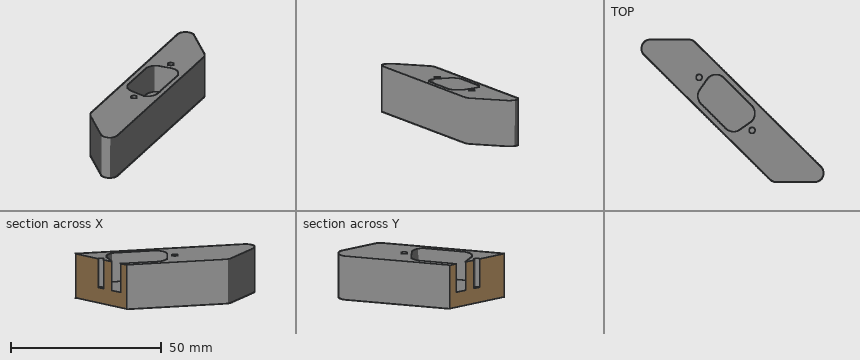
import cadquery as cq
import math

bar_depth = 47.25
bar_height = 15.5
end_length = 21.2
end_offset = 47.8
corner_radius = 3.0

connector_x = -2.3
connector_y = 2.3
connector_turn = -45.0
pocket_length = 19.7
pocket_width = 11.4
pocket_taper = 10.0
pocket_radius = 3.6
screw_spacing = 24.8
screw_diameter = 2.0
blind_depth = 10.0


def slanted_bar():
    """Parallelogram block, centred in X and Y, with rounded upright edges."""
    acute_x = (end_offset + end_length) / 2
    obtuse_x = (end_offset - end_length) / 2
    half_depth = bar_depth / 2
    corners = [
        (-acute_x, half_depth),
        (-obtuse_x, half_depth),
        (acute_x, -half_depth),
        (obtuse_x, -half_depth),
    ]
    block = cq.Workplane("XY").polyline(corners).close().extrude(bar_height)
    return block.edges("|Z").fillet(corner_radius)


def connector_plane():
    """Workplane on the top face, with its x axis along the connector."""
    top_face = cq.Plane(origin=(connector_x, connector_y, bar_height))
    return cq.Workplane(top_face.rotated((0, 0, connector_turn)))


def connector_pocket():
    """Rounded trapezoid, with its longer side toward +X and +Y."""
    half_width = pocket_width / 2
    end_shift = half_width * math.tan(math.radians(pocket_taper))
    long_half = pocket_length / 2 + end_shift
    short_half = pocket_length / 2 - end_shift
    corners = [
        (-long_half, half_width),
        (long_half, half_width),
        (short_half, -half_width),
        (-short_half, -half_width),
    ]
    pocket = connector_plane().polyline(corners).close().extrude(-blind_depth)
    return pocket.edges("|Z").fillet(pocket_radius)


def screw_holes():
    """One blind hole beyond each end of the pocket."""
    centres = [(-screw_spacing / 2, 0), (screw_spacing / 2, 0)]
    return connector_plane().pushPoints(centres).circle(screw_diameter / 2).extrude(-blind_depth)


result = slanted_bar().cut(connector_pocket()).cut(screw_holes())